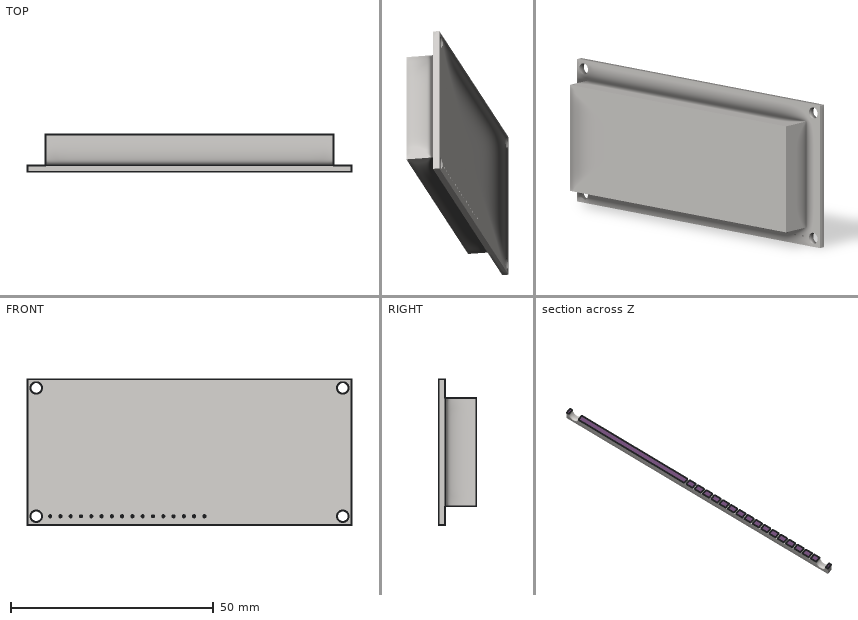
import cadquery as cq

board_length = 80.1
board_height = 36.05
board_thickness = 1.6

total_depth = 9.3
housing_length = 71.3
housing_height = 26.8
housing_depth = total_depth - board_thickness

mount_diameter = 2.8
mount_inset = 2.2

pin_diameter = 0.505
pin_count = 16
pin_row_length = 38.1
pin_pitch = pin_row_length / (pin_count - 1)
first_pin_inset = 5.6


def block(length, depth, height, front_y):
    """Box centred on X and Z whose front face lies at front_y."""
    return cq.Workplane("XY").box(length, depth, height).translate((0, front_y + depth / 2, 0))


def drill(body, points, diameter):
    """Cut holes through the board thickness at (x, z) points."""
    holes = (
        cq.Workplane("XZ")
        .pushPoints(points)
        .circle(diameter / 2)
        .extrude(-board_thickness)
    )
    return body.cut(holes)


board = block(board_length, board_thickness, board_height, 0)

mount_x = board_length / 2 - mount_inset
mount_z = board_height / 2 - mount_inset
mount_points = [(x, z) for x in (-mount_x, mount_x) for z in (-mount_z, mount_z)]
board = drill(board, mount_points, mount_diameter)

first_pin_x = -board_length / 2 + first_pin_inset
pin_points = [(first_pin_x + i * pin_pitch, -mount_z) for i in range(pin_count)]
board = drill(board, pin_points, pin_diameter)

housing = block(housing_length, housing_depth, housing_height, board_thickness)
result = board.union(housing)